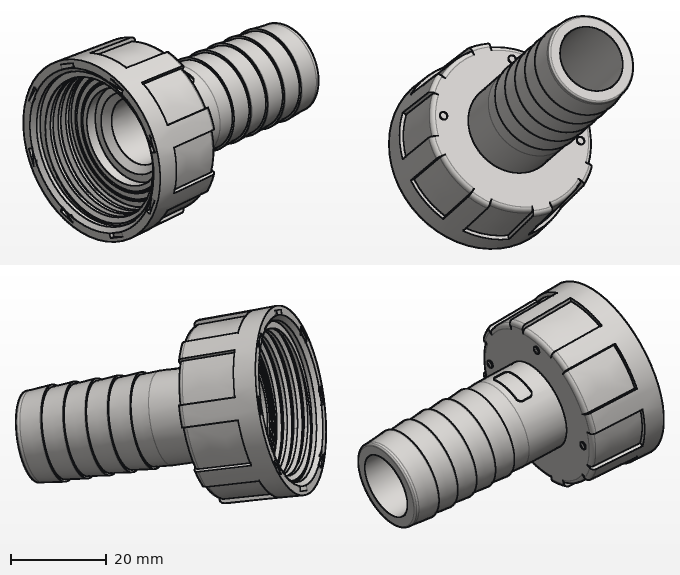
import cadquery as cq
import math


NUT_LENGTH = 18.0
NUT_MOUTH_RADIUS = 20.0
NUT_DRAFT = math.radians(2.0)
NUT_BACK_ROUND = 1.0
COLLAR_LENGTH = 5.0
PAD_COUNT = 8
PAD_DEPTH = 0.87
PAD_HALF_ANGLE = 15.4
BUMP_DIAMETER = 1.69
BUMP_HEIGHT = 0.25
BUMP_CIRCLE_RADIUS = 15.7
BUMP_ANGLES = (0, 90, 180)

LEAD_IN_MOUTH_RADIUS = 18.05
LEAD_IN_END_RADIUS = 34.09 / 2
LEAD_IN_CONE_DEPTH = 1.0
LEAD_IN_DEPTH = 2.0
THREAD_PITCH = 2.309
THREAD_MAJOR_RADIUS = 33.25 / 2
THREAD_MINOR_RADIUS = 15.5
THREAD_HALF_ANGLE = math.radians(27.5)
THREAD_ROOT_WIDTH = 0.3
THREAD_OVERCUT = 0.25
THREAD_TURNS = 3.75
THREAD_START_ANGLE = 50.0
THREAD_START_Y = 1.3
POCKET_COUNT = 8
POCKET_INNER_RADIUS = 18.03
POCKET_OUTER_RADIUS = 19.05
POCKET_WIDTH = 3.85
POCKET_DEPTH = 1.0

GASKET_FACE_Y = 9.5
GASKET_THICKNESS = 2.5
GASKET_INNER_RADIUS = 21.42 / 2
GASKET_OUTER_RADIUS = 30.6 / 2
GASKET_RIDGES = ((23.77 / 2, 24.79 / 2), (27.23 / 2, 28.25 / 2))
GASKET_RIDGE_HEIGHT = 0.25

TOTAL_LENGTH = 58.0
FLANGE_FACE_Y = GASKET_FACE_Y + GASKET_THICKNESS
FLANGE_BACK_Y = 16.5
FLANGE_RADIUS = 30.0 / 2
NECK_RADIUS = 20.0 / 2
NECK_END_Y = 28.0
PANEL_WIDTH = 9.15
PANEL_HEIGHT = 3.9
PANEL_CORNER_RADIUS = 1.0
PANEL_CENTER_Y = 24.4
PANEL_DEPTH = 0.2
BARB_ROOT_RADIUS = 19.5 / 2
BARB_TIP_RADIUS = 10.25
BARB_LAND = 0.25
BARB_PITCH = 5.0
BARB_COUNT = 5
FIRST_BARB_Y = 32.0
TIP_START_Y = 57.0
TIP_ROUND = 0.4
BORE_COUNTERSINK_RADIUS = 9.0
BORE_COUNTERSINK_DEPTH = 1.5
BORE_ENTRY_RADIUS = 7.4
BORE_END_RADIUS = 7.2


def revolve_about_y(outline):
    """Full turn of a (radius, y) outline, already closed, about the Y axis."""
    return outline.revolve(360, (0, 0, 0), (0, 1, 0))


def ring(points):
    """Solid of revolution from the (radius, y) corners of its section."""
    return revolve_about_y(cq.Workplane("XY").polyline(points).close())


def turned(body, angle):
    """Copy of a body turned about the Y axis, angle in degrees from +X towards +Z."""
    return body.rotate((0, 0, 0), (0, 1, 0), -angle)


def nut_radius(y):
    """Radius of the drafted outside of the nut at a distance y from its mouth."""
    return NUT_MOUTH_RADIUS - y * math.tan(NUT_DRAFT)


def rounded_cone(inset):
    """Solid drafted body of the nut, set in by a radial amount, with its back edge rounded."""
    cone = ring([
        (0, 0),
        (nut_radius(0) - inset, 0),
        (nut_radius(NUT_LENGTH) - inset, NUT_LENGTH),
        (0, NUT_LENGTH),
    ])
    return cone.faces(">Y").edges().fillet(NUT_BACK_ROUND)


def pad_recesses():
    """Eight shallow recesses round the nut, from the collar to the back, leaving ribs between."""
    shell = rounded_cone(0).cut(rounded_cone(PAD_DEPTH))
    reach = 2 * NUT_MOUTH_RADIUS
    half_width = reach * math.tan(math.radians(PAD_HALF_ANGLE))
    wedge = (
        cq.Workplane("XZ", origin=(0, COLLAR_LENGTH, 0))
        .polyline([(0, 0), (reach, -half_width), (reach, half_width)])
        .close()
        .extrude(-NUT_LENGTH)
    )
    recess = shell.intersect(wedge)
    recesses = cq.Workplane("XY")
    for i in range(PAD_COUNT):
        recesses.add(turned(recess, i * 360 / PAD_COUNT).vals())
    return recesses


def thread_groove():
    """Right-handed V groove of the pipe thread, with a flat root."""
    depth = THREAD_MAJOR_RADIUS - THREAD_MINOR_RADIUS + THREAD_OVERCUT
    crest_half_width = THREAD_ROOT_WIDTH / 2 + depth * math.tan(THREAD_HALF_ANGLE)
    inner_radius = THREAD_MAJOR_RADIUS - depth
    length = THREAD_TURNS * THREAD_PITCH
    path = cq.Wire.makeHelix(THREAD_PITCH, length, THREAD_MAJOR_RADIUS)
    groove = (
        cq.Workplane("XZ")
        .polyline([
            (inner_radius, -crest_half_width),
            (THREAD_MAJOR_RADIUS, -THREAD_ROOT_WIDTH / 2),
            (THREAD_MAJOR_RADIUS, THREAD_ROOT_WIDTH / 2),
            (inner_radius, crest_half_width),
        ])
        .close()
        .sweep(cq.Workplane(obj=path), isFrenet=True)
    )
    groove = groove.rotate((0, 0, 0), (1, 0, 0), -90)
    return turned(groove, THREAD_START_ANGLE).translate((0, THREAD_START_Y, 0))


def mouth_pocket():
    """Pocket in the mouth face whose floor ramps down round the rim to an upright end wall."""
    return (
        cq.Workplane("YZ", origin=(POCKET_INNER_RADIUS, 0, 0))
        .polyline([(0, POCKET_WIDTH / 2), (0, -POCKET_WIDTH / 2), (POCKET_DEPTH, -POCKET_WIDTH / 2)])
        .close()
        .extrude(POCKET_OUTER_RADIUS - POCKET_INNER_RADIUS)
    )


def make_nut():
    nut = rounded_cone(0)
    for recess in pad_recesses().vals():
        nut = nut.cut(cq.Workplane(obj=recess))
    cavity = ring([
        (0, 0),
        (LEAD_IN_MOUTH_RADIUS, 0),
        (LEAD_IN_END_RADIUS, LEAD_IN_CONE_DEPTH),
        (LEAD_IN_END_RADIUS, LEAD_IN_DEPTH),
        (THREAD_MINOR_RADIUS, LEAD_IN_DEPTH),
        (THREAD_MINOR_RADIUS, FLANGE_FACE_Y),
        (FLANGE_RADIUS, FLANGE_FACE_Y),
        (FLANGE_RADIUS, FLANGE_BACK_Y),
        (NECK_RADIUS, FLANGE_BACK_Y),
        (NECK_RADIUS, NUT_LENGTH),
        (0, NUT_LENGTH),
    ])
    nut = nut.cut(cavity)
    nut = nut.cut(thread_groove())
    for i in range(POCKET_COUNT):
        nut = nut.cut(turned(mouth_pocket(), (i + 0.5) * 360 / POCKET_COUNT))
    bump = (
        cq.Workplane("XZ", origin=(0, NUT_LENGTH, 0))
        .center(BUMP_CIRCLE_RADIUS, 0)
        .circle(BUMP_DIAMETER / 2)
        .extrude(-BUMP_HEIGHT)
    )
    for angle in BUMP_ANGLES:
        nut = nut.union(turned(bump, angle))
    return nut


def make_gasket():
    """Flat ring with two low pointed sealing ridges on the side towards the mouth."""
    outline = [(GASKET_INNER_RADIUS, FLANGE_FACE_Y), (GASKET_INNER_RADIUS, GASKET_FACE_Y)]
    for inner, outer in GASKET_RIDGES:
        outline.append((inner, GASKET_FACE_Y))
        outline.append(((inner + outer) / 2, GASKET_FACE_Y - GASKET_RIDGE_HEIGHT))
        outline.append((outer, GASKET_FACE_Y))
    outline += [(GASKET_OUTER_RADIUS, GASKET_FACE_Y), (GASKET_OUTER_RADIUS, FLANGE_FACE_Y)]
    return ring(outline)


def label_panel():
    """Shallow rounded rectangle sunk into the +Z side of the neck, its floor following the neck."""
    shell = ring([
        (NECK_RADIUS - PANEL_DEPTH, NECK_END_Y),
        (NECK_RADIUS - PANEL_DEPTH, NUT_LENGTH),
        (NECK_RADIUS, NUT_LENGTH),
        (NECK_RADIUS, NECK_END_Y),
    ])
    plate = (
        cq.Workplane("XY")
        .center(0, PANEL_CENTER_Y)
        .rect(PANEL_WIDTH, PANEL_HEIGHT)
        .extrude(NECK_RADIUS)
        .edges("|Z")
        .fillet(PANEL_CORNER_RADIUS)
    )
    return shell.intersect(plate)


def make_hose_tail():
    outline = [
        (BORE_COUNTERSINK_RADIUS, FLANGE_FACE_Y),
        (FLANGE_RADIUS, FLANGE_FACE_Y),
        (FLANGE_RADIUS, FLANGE_BACK_Y),
        (NECK_RADIUS, FLANGE_BACK_Y),
        (NECK_RADIUS, NECK_END_Y),
    ]
    for i in range(BARB_COUNT):
        barb_y = FIRST_BARB_Y + i * BARB_PITCH
        outline.append((BARB_ROOT_RADIUS, barb_y))
        outline.append((BARB_TIP_RADIUS, barb_y))
        if i > 0:
            outline.append((BARB_TIP_RADIUS, barb_y + BARB_LAND))
    outline.append((BARB_ROOT_RADIUS, TIP_START_Y))
    outline.append((BARB_ROOT_RADIUS, TOTAL_LENGTH - TIP_ROUND))
    round_middle = TIP_ROUND * (1 - math.sqrt(0.5))
    section = (
        cq.Workplane("XY")
        .polyline(outline)
        .threePointArc(
            (BARB_ROOT_RADIUS - round_middle, TOTAL_LENGTH - round_middle),
            (BARB_ROOT_RADIUS - TIP_ROUND, TOTAL_LENGTH),
        )
        .lineTo(BORE_END_RADIUS, TOTAL_LENGTH)
        .lineTo(BORE_ENTRY_RADIUS, FLANGE_FACE_Y + BORE_COUNTERSINK_DEPTH)
        .close()
    )
    return revolve_about_y(section).cut(label_panel())


nut = make_nut()
gasket = make_gasket()
hose_tail = make_hose_tail()

result = cq.Compound.makeCompound([nut.val(), gasket.val(), hose_tail.val()])